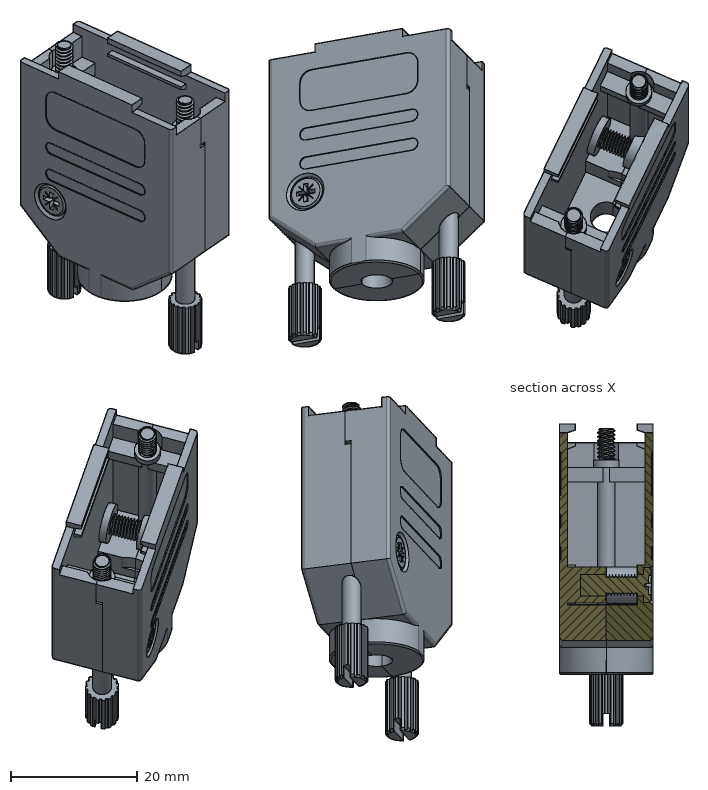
import cadquery as cq
import math


HOOD_WIDTH = 31.0
HOOD_DEPTH = 14.8
HALF_WIDTH = HOOD_WIDTH / 2
HALF_DEPTH = HOOD_DEPTH / 2
COLLAR_RADIUS = 7.5
COLLAR_EDGE_CHAMFER = 0.25
BASE_Z = 4.2
SHOULDER_Z = 10.7
FACE_TOP_Z = 38.2
SIDE_TOP_Z = 36.65
HOOK_TOP_Z = 39.6
EDGE_ROUND = 0.5

FACE_WALL = 1.3
SIDE_WALL = 1.8
CAVITY_HALF_WIDTH = HALF_WIDTH - SIDE_WALL
CAVITY_HALF_DEPTH = HALF_DEPTH - FACE_WALL
FLOOR_Z = 11.0
WELL_Z = 5.7
WELL_HALF_WIDTH = 5.5
WELL_RADIUS = 5.9
WELL_STEP_Z = 8.0
CABLE_HOLE_DIAMETER = 5.0
LEDGE_INNER_X = 11.0
LEDGE_TOP_Z = 32.7
LEDGE_THICKNESS = 2.3

HOOK_HALF_LENGTH = 7.5
HOOK_INNER_Y = HALF_DEPTH - 2.5
HOOK_NOSE_HEIGHT = 1.0
RIB_TOP_Z = 36.6
RIB_HEIGHT = 1.0
RIB_NOSE_HEIGHT = 0.5

LIP_REACH = 1.0
LIP_TOP_Z = 31.0
LIP_GAP = 0.5

RECESS_DEPTH = 0.2
RECESS_LENGTH = 20.2
LABEL_HEIGHT = 7.1
LABEL_Z = 31.7
LABEL_CORNER = 2.0
GRIP_HEIGHT = 2.1
GRIP_CENTRES_Z = (24.2, 19.15)

THREAD_RUNOUT = 0.15
THREAD_ROOT_OVERLAP = 0.1
THREAD_BASE_RATIO = 0.9

CASE_SCREW_X = -9.17
CASE_SCREW_Z = 14.1
HEAD_RADIUS = 2.75
HEAD_CHAMFER = 0.32
HEAD_HEIGHT = 1.2
HEAD_SINK = 0.25
COUNTERSINK_RADIUS = 3.2
COUNTERSINK_DEPTH = COUNTERSINK_RADIUS - HEAD_RADIUS
HEAD_BOSS_RADIUS = 3.2
NUT_BOSS_RADIUS = 2.9
CASE_THREAD_RADIUS = 1.7
CASE_CORE_RADIUS = 1.3
CASE_THREAD_PITCH = 0.5
CASE_SCREW_GRIP = 4.0
HEAD_FACE_Y = -HALF_DEPTH + HEAD_SINK
HEAD_SEAT_Y = HEAD_FACE_Y + HEAD_HEIGHT
CROSS_LENGTH = 3.1
CROSS_WIDTH = 0.7
CROSS_DEPTH = 0.9
CROSS_TAPER = 10
CROSS_PIT_RADIUS = 0.3
CROSS_PIT_DEPTH = 1.1
TICK_LENGTH = 3.4
TICK_WIDTH = 0.1
TICK_DEPTH = 0.1

THUMB_X = 12.33
SHAFT_RADIUS = 1.52
THUMB_THREAD_RADIUS = 1.42
THUMB_CORE_RADIUS = 1.1
THUMB_THREAD_PITCH = 0.635
THUMB_TIP_Z = 38.85
KNOB_BOTTOM_Z = -8.2
KNOB_TOP_Z = 0.85
KNOB_RADIUS = 2.63
KNOB_CHAMFER = 0.4
KNURL_TEETH = 16
KNURL_DEPTH = 0.25
KNURL_CREST_SHARE = 0.45
KNURL_ROOT_SHARE = 0.35
DRIVER_SLOT_WIDTH = 1.0
DRIVER_SLOT_DEPTH = 2.0
RING_RADIUS = 2.05
RING_THICKNESS = 1.2
RING_POCKET_RADIUS = 2.4


def block(x0, x1, y0, y1, z0, z1):
    """Box between two limits on each axis."""
    return cq.Workplane("XY").box(x1 - x0, y1 - y0, z1 - z0, centered=False).translate((x0, y0, z0))


def upright(radius, x, z0, z1):
    """Vertical cylinder on the y = 0 plane."""
    return cq.Workplane("XY", origin=(x, 0, z0)).circle(radius).extrude(z1 - z0)


def crosswise(radius, x, z, y0, y1):
    """Cylinder along Y."""
    return cq.Workplane("XZ", origin=(x, y0, z)).circle(radius).extrude(y0 - y1)


def threaded_rod(core_radius, crest_radius, pitch, length):
    """Rod standing on z = 0 with one helical V ridge that stops just short of both ends."""
    buried = core_radius - THREAD_ROOT_OVERLAP
    half_base = THREAD_BASE_RATIO * pitch / 2
    path = cq.Wire.makeHelix(pitch, length + 2 * pitch, core_radius).translate(cq.Vector(0, 0, -pitch))
    ridge = (
        cq.Workplane("XZ")
        .polyline([(buried, -half_base - pitch), (crest_radius, -pitch), (buried, half_base - pitch)])
        .close()
        .sweep(cq.Workplane(path), isFrenet=True)
    )
    ridge_span = upright(2 * crest_radius, 0, THREAD_RUNOUT, length - THREAD_RUNOUT)
    core = upright(core_radius, 0, 0, length)
    return core.union(ridge.intersect(ridge_span))


def hood_shell():
    """Outside of the whole hood, both halves together, before it is hollowed."""
    body = (
        cq.Workplane("XZ", origin=(0, HALF_DEPTH, 0))
        .polyline([
            (-HALF_WIDTH, FACE_TOP_Z),
            (-HALF_WIDTH, SHOULDER_Z),
            (-COLLAR_RADIUS, BASE_Z),
            (COLLAR_RADIUS, BASE_Z),
            (HALF_WIDTH, SHOULDER_Z),
            (HALF_WIDTH, FACE_TOP_Z),
        ])
        .close()
        .extrude(HOOD_DEPTH)
    )
    body = body.faces("<Y or >Y").edges("not >Z").fillet(EDGE_ROUND)
    collar = (
        upright(COLLAR_RADIUS, 0, 0, FLOOR_Z)
        .faces("<Z").chamfer(COLLAR_EDGE_CHAMFER)
        .intersect(block(-HALF_WIDTH, HALF_WIDTH, -HALF_DEPTH, HALF_DEPTH, 0, FLOOR_Z))
    )
    return body.union(collar)


def hood_cavity():
    """Open cavity with a narrower cable well in its floor."""
    main = block(
        -CAVITY_HALF_WIDTH, CAVITY_HALF_WIDTH,
        -CAVITY_HALF_DEPTH, CAVITY_HALF_DEPTH,
        FLOOR_Z, HOOK_TOP_Z,
    )
    well = block(
        -WELL_HALF_WIDTH, WELL_HALF_WIDTH,
        -CAVITY_HALF_DEPTH, CAVITY_HALF_DEPTH,
        WELL_Z, FLOOR_Z,
    )
    side_openings = block(
        -HALF_WIDTH, HALF_WIDTH,
        -CAVITY_HALF_DEPTH, CAVITY_HALF_DEPTH,
        SIDE_TOP_Z, HOOK_TOP_Z,
    )
    cable_hole = upright(CABLE_HOLE_DIAMETER / 2, 0, 0, WELL_Z)
    round_mouth = upright(WELL_RADIUS, 0, WELL_STEP_Z, FLOOR_Z)
    return main.union(well).union(round_mouth).union(side_openings).union(cable_hole)


def front_half_region():
    """Space of the front half: y < 0, less the other half's lip at -X, plus its own lip at +X."""
    region = block(-HALF_WIDTH, HALF_WIDTH, -HALF_DEPTH, 0, 0, HOOK_TOP_Z)
    lip_room = block(-HALF_WIDTH, -CAVITY_HALF_WIDTH, -LIP_REACH, 0, 0, LIP_TOP_Z + LIP_GAP)
    lip = block(CAVITY_HALF_WIDTH, HALF_WIDTH, 0, LIP_REACH, 0, LIP_TOP_Z)
    return region.cut(lip_room).union(lip)


def hook():
    """Flange hook along the top of the front wall, sloped underneath."""
    return (
        cq.Workplane("YZ", origin=(-HOOK_HALF_LENGTH, 0, 0))
        .polyline([
            (-HALF_DEPTH, FACE_TOP_Z - EDGE_ROUND),
            (-HALF_DEPTH, HOOK_TOP_Z),
            (-HOOK_INNER_Y, HOOK_TOP_Z),
            (-HOOK_INNER_Y, HOOK_TOP_Z - HOOK_NOSE_HEIGHT),
            (-CAVITY_HALF_DEPTH, FACE_TOP_Z),
            (-CAVITY_HALF_DEPTH, FACE_TOP_Z - EDGE_ROUND),
        ])
        .close()
        .extrude(2 * HOOK_HALF_LENGTH)
    )


def flange_rib():
    """Rib on the inner face of the front wall, level on top and sloped underneath."""
    return (
        cq.Workplane("YZ", origin=(-HOOK_HALF_LENGTH, 0, 0))
        .polyline([
            (-CAVITY_HALF_DEPTH, RIB_TOP_Z),
            (-HOOK_INNER_Y, RIB_TOP_Z),
            (-HOOK_INNER_Y, RIB_TOP_Z - RIB_NOSE_HEIGHT),
            (-CAVITY_HALF_DEPTH, RIB_TOP_Z - RIB_HEIGHT),
        ])
        .close()
        .extrude(2 * HOOK_HALF_LENGTH)
    )


def face_recesses():
    """Label panel and grip slots sunk into the front face."""
    face = cq.Workplane("XZ", origin=(0, -HALF_DEPTH + RECESS_DEPTH, 0))
    label = (
        face.center(0, LABEL_Z)
        .rect(RECESS_LENGTH, LABEL_HEIGHT)
        .extrude(RECESS_DEPTH)
        .edges("|Y").fillet(LABEL_CORNER)
    )
    grips = (
        face.pushPoints([(0, z) for z in GRIP_CENTRES_Z])
        .slot2D(RECESS_LENGTH, GRIP_HEIGHT)
        .extrude(RECESS_DEPTH)
    )
    return label.union(grips)


def screw_head_pocket():
    """Countersunk seat and clearance hole for the case screw in the front wall."""
    cone = cq.Workplane(cq.Solid.makeCone(
        COUNTERSINK_RADIUS, HEAD_RADIUS, COUNTERSINK_DEPTH,
        cq.Vector(CASE_SCREW_X, -HALF_DEPTH, CASE_SCREW_Z), cq.Vector(0, 1, 0),
    ))
    seat = crosswise(HEAD_RADIUS, CASE_SCREW_X, CASE_SCREW_Z, -HALF_DEPTH, HEAD_SEAT_Y)
    hole = crosswise(CASE_THREAD_RADIUS, CASE_SCREW_X, CASE_SCREW_Z, HEAD_SEAT_Y, 0)
    return cone.union(seat).union(hole)


def hood_half():
    """Front half of the hood; the back half is the same part turned half a turn about Z."""
    half = hood_shell().cut(hood_cavity())
    for side in (-1, 1):
        inner, outer = sorted((side * LEDGE_INNER_X, side * CAVITY_HALF_WIDTH))
        half = half.union(block(
            inner, outer,
            -CAVITY_HALF_DEPTH, CAVITY_HALF_DEPTH,
            LEDGE_TOP_Z - LEDGE_THICKNESS, LEDGE_TOP_Z,
        ))
    half = half.intersect(front_half_region())
    half = half.union(hook()).union(flange_rib())
    head_boss = crosswise(HEAD_BOSS_RADIUS, CASE_SCREW_X, CASE_SCREW_Z, -CAVITY_HALF_DEPTH, -HOOK_INNER_Y)
    nut_boss = crosswise(NUT_BOSS_RADIUS, -CASE_SCREW_X, CASE_SCREW_Z, -CAVITY_HALF_DEPTH, 0)
    nut_hole = crosswise(CASE_THREAD_RADIUS, -CASE_SCREW_X, CASE_SCREW_Z, -CASE_SCREW_GRIP, 0)
    half = half.union(head_boss).union(nut_boss)
    half = half.cut(screw_head_pocket()).cut(nut_hole).cut(face_recesses())
    for x in (-THUMB_X, THUMB_X):
        half = half.cut(upright(SHAFT_RADIUS, x, BASE_Z, FLOOR_Z))
        half = half.cut(upright(THUMB_THREAD_RADIUS, x, FLOOR_Z, LEDGE_TOP_Z))
        half = half.cut(upright(RING_POCKET_RADIUS, x, LEDGE_TOP_Z, SIDE_TOP_Z))
    return half


def case_screw():
    """Cross-recessed screw entering from the front face."""
    head = (
        cq.Workplane("XY").circle(HEAD_RADIUS).extrude(HEAD_HEIGHT)
        .faces("<Z").chamfer(HEAD_CHAMFER)
    )
    mouth = cq.Workplane("XY")
    cross = (
        mouth.rect(CROSS_LENGTH, CROSS_WIDTH).extrude(CROSS_DEPTH, taper=CROSS_TAPER)
        .union(mouth.rect(CROSS_WIDTH, CROSS_LENGTH).extrude(CROSS_DEPTH, taper=CROSS_TAPER))
        .union(mouth.circle(CROSS_PIT_RADIUS).extrude(CROSS_PIT_DEPTH))
    )
    ticks = mouth.rect(TICK_LENGTH, TICK_WIDTH).extrude(TICK_DEPTH)
    head = head.cut(cross)
    for angle in (45, 135):
        head = head.cut(ticks.rotate((0, 0, 0), (0, 0, 1), angle))

    neck_end = -HOOK_INNER_Y - HEAD_FACE_Y
    split = -HEAD_FACE_Y
    neck = upright(CASE_THREAD_RADIUS, 0, HEAD_HEIGHT, neck_end)
    thread = threaded_rod(CASE_CORE_RADIUS, CASE_THREAD_RADIUS, CASE_THREAD_PITCH, split - neck_end)
    tip = upright(CASE_THREAD_RADIUS, 0, split, split + CASE_SCREW_GRIP)
    screw = head.union(neck).union(thread.translate((0, 0, neck_end))).union(tip)
    return screw.rotate((0, 0, 0), (1, 0, 0), -90).translate((CASE_SCREW_X, HEAD_FACE_Y, CASE_SCREW_Z))


def knob():
    """Knurled, slotted knob with a chamfered bottom."""
    tooth_angle = 2 * math.pi / KNURL_TEETH
    half_crest = KNURL_CREST_SHARE * tooth_angle / 2
    half_root = KNURL_ROOT_SHARE * tooth_angle / 2
    root_radius = KNOB_RADIUS - KNURL_DEPTH
    outline = []
    for tooth in range(KNURL_TEETH):
        crest = tooth * tooth_angle
        root = crest + tooth_angle / 2
        for radius, angle in (
            (KNOB_RADIUS, crest - half_crest),
            (KNOB_RADIUS, crest + half_crest),
            (root_radius, root - half_root),
            (root_radius, root + half_root),
        ):
            outline.append((radius * math.cos(angle), radius * math.sin(angle)))
    height = KNOB_TOP_Z - KNOB_BOTTOM_Z
    knurl = cq.Workplane("XY").polyline(outline).close().extrude(height)
    blank = cq.Workplane("XY").circle(KNOB_RADIUS).extrude(height).faces("<Z").chamfer(KNOB_CHAMFER)
    slot = cq.Workplane("XY").rect(3 * KNOB_RADIUS, DRIVER_SLOT_WIDTH).extrude(DRIVER_SLOT_DEPTH)
    return knurl.intersect(blank).cut(slot).translate((0, 0, KNOB_BOTTOM_Z))


def thumbscrew():
    """Knob on a plain shaft, with a slimmer neck above the cavity floor and a threaded end."""
    thread_z = LEDGE_TOP_Z + RING_THICKNESS
    shaft = upright(SHAFT_RADIUS, 0, KNOB_TOP_Z, FLOOR_Z)
    neck = upright(THUMB_THREAD_RADIUS, 0, FLOOR_Z, thread_z)
    thread = threaded_rod(THUMB_CORE_RADIUS, THUMB_THREAD_RADIUS, THUMB_THREAD_PITCH, THUMB_TIP_Z - thread_z)
    return knob().union(shaft).union(neck).union(thread.translate((0, 0, thread_z)))


def retaining_ring():
    """Plain ring resting on the ledge around the thumbscrew neck."""
    return (
        cq.Workplane("XY", origin=(0, 0, LEDGE_TOP_Z))
        .circle(RING_RADIUS)
        .circle(THUMB_THREAD_RADIUS)
        .extrude(RING_THICKNESS)
    )


front_hood = hood_half()
front_screw = case_screw()
screw_blank = thumbscrew()
ring_blank = retaining_ring()

hood_halves = []
case_screws = []
for turn in (0, 180):
    hood_halves.append(front_hood.rotate((0, 0, 0), (0, 0, 1), turn).solids().val())
    case_screws.append(front_screw.rotate((0, 0, 0), (0, 0, 1), turn).solids().val())

thumbscrews = []
retaining_rings = []
for x in (-THUMB_X, THUMB_X):
    thumbscrews.append(screw_blank.translate((x, 0, 0)).solids().val())
    retaining_rings.append(ring_blank.translate((x, 0, 0)).solids().val())

result = cq.Compound.makeCompound([*hood_halves, *case_screws, *thumbscrews, *retaining_rings])